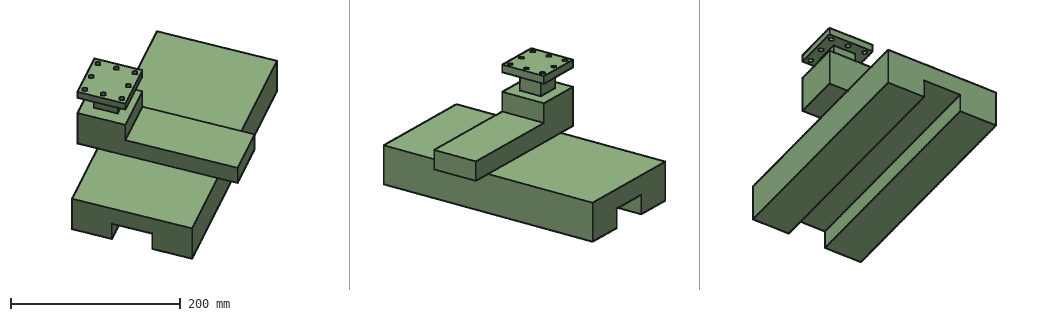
import cadquery as cq

base_length = 300.0
base_width = 150.0
base_height = 50.0
channel_width = 50.0
channel_depth = base_height / 2

arm_length = 200.0
arm_width = 60.0
arm_height = 25.0
arm_setback = 90.0
block_height = 50.0

post_side = arm_width / 2
post_height = 25.0
plate_thickness = 10.0
hole_diameter = 6.0
hole_pitch = 23.0

arm_y = -base_length / 2 + arm_setback + arm_width / 2
block_x = -arm_length / 2 + arm_width / 2
block_top = base_height + block_height
plate_bottom = block_top + post_height


def box_on(length, width, height, x, y, bottom):
    """Box centred on (x, y) and standing on the level `bottom`."""
    return (
        cq.Workplane("XY")
        .box(length, width, height, centered=(True, True, False))
        .translate((x, y, bottom))
    )


def make_base():
    block = box_on(base_width, base_length, base_height, 0, 0, 0)
    channel = box_on(channel_width, base_length, channel_depth, 0, 0, 0)
    return block.cut(channel)


def make_arm():
    beam = box_on(arm_length, arm_width, arm_height, 0, arm_y, base_height)
    block = box_on(arm_width, arm_width, block_height, block_x, arm_y, base_height)
    return beam.union(block)


def make_plate():
    """Square plate with eight through holes around its border."""
    plate = box_on(arm_width, arm_width, plate_thickness, block_x, arm_y, plate_bottom)
    steps = (-1, 0, 1)
    hole_centres = [
        (block_x + i * hole_pitch, arm_y + j * hole_pitch)
        for i in steps
        for j in steps
        if (i, j) != (0, 0)
    ]
    holes = (
        cq.Workplane("XY", origin=(0, 0, plate_bottom))
        .pushPoints(hole_centres)
        .circle(hole_diameter / 2)
        .extrude(plate_thickness)
    )
    return plate.cut(holes)


post = box_on(post_side, post_side, post_height, block_x, arm_y, block_top)

result = make_base().union(make_arm()).union(post).union(make_plate())